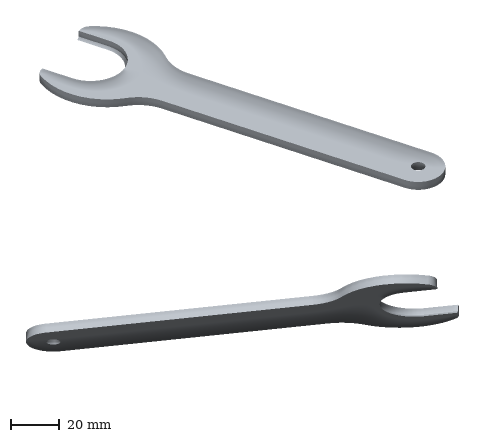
import cadquery as cq
import math

length = 180.0
thickness = 4.0
handle_half_width = 11.2
handle_end_x = length - handle_half_width
hanging_hole_diameter = 6.0

head_half_width = 25.4
jaw_radius = 30.6
neck_radius = 20.0
tip_radius = 5.0
jaw_center_x = 19.0
jaw_center_y = head_half_width - jaw_radius

mouth_radius = 15.3
mouth_center_x = 14.2
lip_width = 1.0
lip_height = 1.0

neck_center_y = handle_half_width + neck_radius
neck_jaw_distance = neck_radius + jaw_radius
neck_center_x = jaw_center_x + math.sqrt(neck_jaw_distance**2 - (neck_center_y - jaw_center_y)**2)

tip_jaw_distance = jaw_radius - tip_radius
tip_center_y = jaw_center_y + math.sqrt(tip_jaw_distance**2 - (jaw_center_x - tip_radius)**2)


def point_toward(start, target, distance):
    """Point at a distance from start along the line to target."""
    span = math.dist(start, target)
    return tuple(a + (b - a) * distance / span for a, b in zip(start, target))


def mirrored(point):
    """Point reflected across the handle axis."""
    return (point[0], -point[1])


def wrench_blank():
    """Solid plate with the head, neck and rounded handle outline."""
    jaw_center = (jaw_center_x, jaw_center_y)
    neck_center = (neck_center_x, neck_center_y)
    tip_center = (tip_radius, tip_center_y)

    tip_start = (0, tip_center_y)
    jaw_start = point_toward(tip_center, jaw_center, -tip_radius)
    tip_chord_middle = ((tip_start[0] + jaw_start[0]) / 2, (tip_start[1] + jaw_start[1]) / 2)
    tip_middle = point_toward(tip_center, tip_chord_middle, tip_radius)
    jaw_top = (jaw_center_x, head_half_width)
    jaw_end = point_toward(jaw_center, neck_center, jaw_radius)
    neck_end = (neck_center_x, handle_half_width)
    neck_chord_middle = ((jaw_end[0] + neck_end[0]) / 2, (jaw_end[1] + neck_end[1]) / 2)
    neck_middle = point_toward(neck_center, neck_chord_middle, neck_radius)
    handle_end = (handle_end_x, handle_half_width)

    return (
        cq.Workplane("XY")
        .moveTo(*tip_start)
        .threePointArc(tip_middle, jaw_start)
        .threePointArc(jaw_top, jaw_end)
        .threePointArc(neck_middle, neck_end)
        .lineTo(*handle_end)
        .threePointArc((length, 0), mirrored(handle_end))
        .lineTo(*mirrored(neck_end))
        .threePointArc(mirrored(neck_middle), mirrored(jaw_end))
        .threePointArc(mirrored(jaw_top), mirrored(jaw_start))
        .threePointArc(mirrored(tip_middle), mirrored(tip_start))
        .close()
        .extrude(thickness)
    )


def mouth_cutter():
    """U-shaped opening, narrowing below the lip height."""
    slot_length = 2 * (mouth_center_x + mouth_radius)
    straight_wall = (
        cq.Workplane("XY", origin=(0, 0, lip_height))
        .center(mouth_center_x - (slot_length - 2 * mouth_radius) / 2, 0)
        .slot2D(slot_length, 2 * mouth_radius)
        .extrude(thickness - lip_height)
    )
    lip_taper = math.degrees(math.atan2(lip_width, lip_height))
    return straight_wall.faces("<Z").wires().toPending().workplane().extrude(
        lip_height, taper=lip_taper
    )


hanging_hole = (
    cq.Workplane("XY")
    .center(handle_end_x, 0)
    .circle(hanging_hole_diameter / 2)
    .extrude(thickness)
)

result = wrench_blank().cut(mouth_cutter()).cut(hanging_hole)